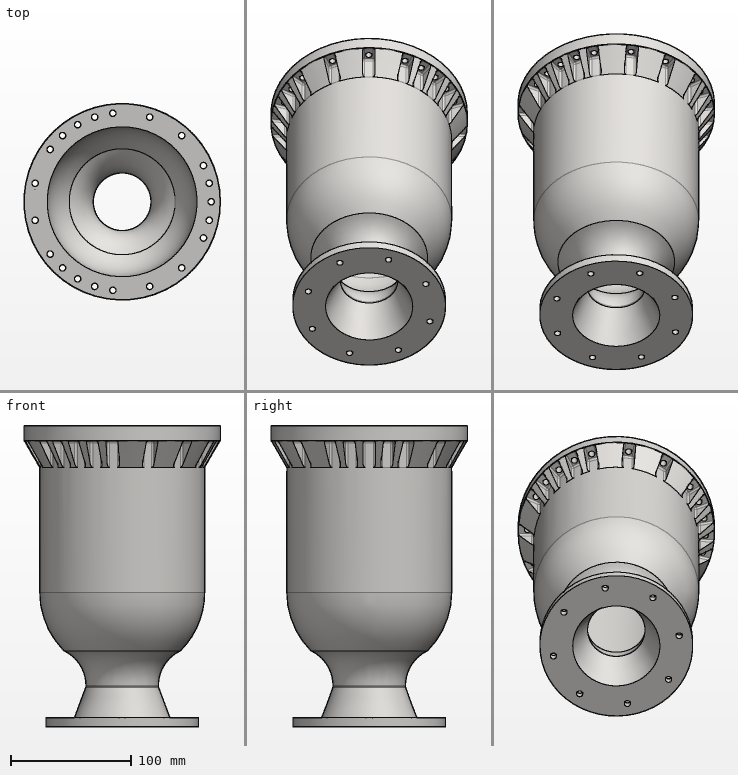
import cadquery as cq
import math

total_height = 250.0

body_radius = 137.16 / 2
bore_radius = 124.46 / 2
wall = body_radius - bore_radius
sphere_centre_z = 111.6
bowl_angle = math.radians(45)

neck_radius = 30.2
neck_top_z = 34.4
neck_band_height = 1.3
skirt_radius = 39.7

base_radius = 127.0 / 2
base_thickness = 7.62
base_bolt_radius = 53.0
base_bolt_count = 8

flange_radius = 163.32 / 2
flange_thickness = 12.7
rim_chamfer = 0.4
flange_bolt_radius = 73.9
bolt_hole_diameter = 5.11

bolt_step_angle = 12.0
upper_bolt_steps = [1, 2, 4, 6, 8, 9, 10, 11, 12, 14]
bolt_steps = [0] + upper_bolt_steps + [-step for step in upper_bolt_steps]

collar_height = 21.9
collar_radius = flange_radius - rim_chamfer
slot_width = 10.16
slot_fillet = 1.6

clearance = 5.0

flange_bottom_z = total_height - flange_thickness
collar_bottom_z = flange_bottom_z - collar_height


def revolve_about_z(profile):
    """Revolve a closed radius-height profile drawn on the XZ plane about the Z axis."""
    return profile.revolve(360, (0, 0, 0), (0, 1, 0))


def vessel_solid(inset, bottom_z, top_z):
    """Solid of the vessel's outer form with its radii reduced by `inset`, from bottom_z to top_z."""
    sphere_radius = body_radius - inset
    throat_radius = neck_radius - inset

    bowl_end_radius = sphere_radius * math.sin(bowl_angle)
    bowl_end_z = sphere_centre_z - sphere_radius * math.cos(bowl_angle)
    bowl_mid_angle = (bowl_angle + math.pi / 2) / 2
    bowl_mid_radius = sphere_radius * math.sin(bowl_mid_angle)
    bowl_mid_z = sphere_centre_z - sphere_radius * math.cos(bowl_mid_angle)

    throat_width = bowl_end_radius - throat_radius
    throat_height = bowl_end_z - neck_top_z
    throat_arc_radius = (throat_width**2 + throat_height**2) / (2 * throat_width)
    throat_half_angle = math.asin(throat_height / throat_arc_radius) / 2
    throat_mid_radius = throat_radius + throat_arc_radius * (1 - math.cos(throat_half_angle))
    throat_mid_z = neck_top_z + throat_arc_radius * math.sin(throat_half_angle)

    skirt_top_z = neck_top_z - neck_band_height
    skirt_slope = (skirt_radius - neck_radius) / (skirt_top_z - base_thickness)
    bottom_radius = throat_radius + skirt_slope * (skirt_top_z - bottom_z)

    profile = (
        cq.Workplane("XZ")
        .moveTo(0, top_z)
        .lineTo(sphere_radius, top_z)
        .lineTo(sphere_radius, sphere_centre_z)
        .threePointArc((bowl_mid_radius, bowl_mid_z), (bowl_end_radius, bowl_end_z))
        .threePointArc((throat_mid_radius, throat_mid_z), (throat_radius, neck_top_z))
        .lineTo(throat_radius, skirt_top_z)
        .lineTo(bottom_radius, bottom_z)
        .lineTo(0, bottom_z)
        .close()
    )
    return revolve_about_z(profile)


def base_flange():
    """Round plate at the foot with evenly spaced bolt holes."""
    return (
        cq.Workplane("XY")
        .circle(base_radius)
        .extrude(base_thickness)
        .faces(">Z")
        .workplane()
        .polarArray(base_bolt_radius, 0, 360, base_bolt_count)
        .hole(bolt_hole_diameter)
    )


def top_flange():
    """Round plate at the mouth with both rim edges broken."""
    return (
        cq.Workplane("XY")
        .workplane(offset=flange_bottom_z)
        .circle(flange_radius)
        .extrude(flange_thickness)
        .edges()
        .chamfer(rim_chamfer)
    )


def collar():
    """Cone that joins the body to the underside of the top flange."""
    profile = (
        cq.Workplane("XZ")
        .moveTo(0, collar_bottom_z)
        .lineTo(body_radius, collar_bottom_z)
        .lineTo(collar_radius, flange_bottom_z)
        .lineTo(0, flange_bottom_z)
        .close()
    )
    return revolve_about_z(profile)


def bolt_slot():
    """Cutter for one slot on the +X side, rounded where it meets the body and the flange."""
    slot_bottom_z = collar_bottom_z - clearance
    slot_height = flange_bottom_z - slot_bottom_z
    slot_end = flange_radius + clearance
    block = (
        cq.Workplane("XY")
        .workplane(offset=slot_bottom_z)
        .center(slot_end / 2, 0)
        .rect(slot_end, slot_width)
        .extrude(slot_height)
    )
    body = cq.Workplane("XY").workplane(offset=slot_bottom_z).circle(body_radius).extrude(slot_height)
    return block.cut(body).edges("not (>X or <Z)").fillet(slot_fillet)


def bolt_hole():
    """Cutter for one top flange bolt hole on the +X side."""
    return (
        cq.Workplane("XY")
        .workplane(offset=flange_bottom_z - clearance)
        .center(flange_bolt_radius, 0)
        .circle(bolt_hole_diameter / 2)
        .extrude(flange_thickness + 2 * clearance)
    )


def turned_to_bolts(cutter):
    """Copies of a +X side cutter, one at every top flange bolt."""
    return [cutter.rotate((0, 0, 0), (0, 0, 1), step * bolt_step_angle) for step in bolt_steps]


slotted_collar = collar()
for slot in turned_to_bolts(bolt_slot()):
    slotted_collar = slotted_collar.cut(slot)

result = (
    vessel_solid(0, base_thickness / 2, total_height - rim_chamfer)
    .union(base_flange())
    .union(top_flange())
    .union(slotted_collar)
    .cut(vessel_solid(wall, -clearance, total_height + clearance))
)
for hole in turned_to_bolts(bolt_hole()):
    result = result.cut(hole)